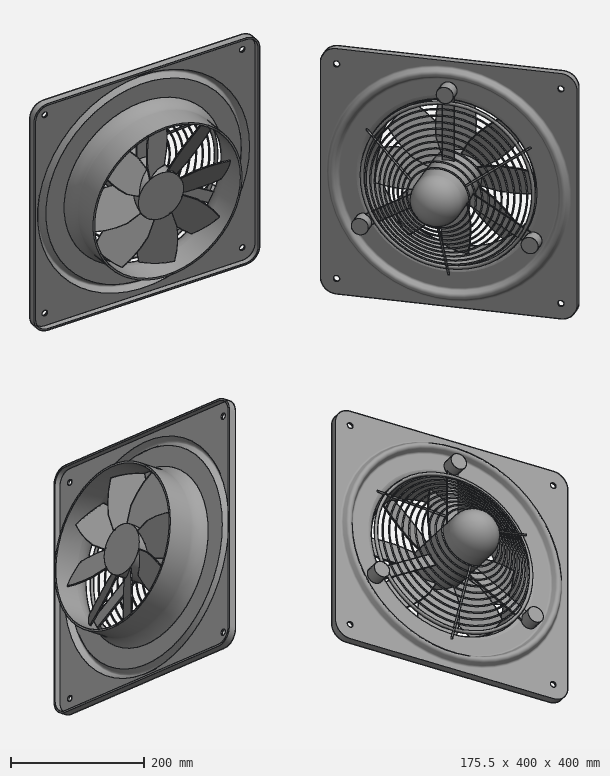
import cadquery as cq
import math


PLATE_SIDE = 400.0
PLATE_DEPTH = 12.5
CORNER_RADIUS = 25.0
SHEET = 3.0
MOUNT_HOLE_DIAMETER = 9.5
MOUNT_HOLE_OFFSET = PLATE_SIDE / 2 - CORNER_RADIUS

BEAD_RADIUS = 180.5
BEAD_HEIGHT = 10.0
BEAD_SLOPE = math.radians(60)
BEAD_CREST_RADIUS = 5.5
BEAD_FOOT_FILLET = 3.5

DUCT_RADIUS = 132.0
DUCT_END = 70.5
BELL_DEPTH = 28.0
BELL_ARC_RADIUS = 39.5
BELL_LIP_FILLET = 8.0

MOTOR_RADIUS = 40.0
DOME_TIP = -105.0
MOTOR_END = 52.0
ROOT_EMBED = 4.0

BLADE_COUNT = 8
BLADE_TIP_RADIUS = 125.0
BLADE_ROOT_RADIUS = MOTOR_RADIUS - ROOT_EMBED
BLADE_ROOT_WIDTH = 45.0
BLADE_SHOULDER_RADIUS = 62.0
BLADE_SHOULDER_WIDTH = 61.0
BLADE_MAX_WIDTH = 62.5
BLADE_TIP_WIDTH = 53.5
BLADE_THICKNESS = 2.0
BLADE_PITCH = 30.0
BLADE_MID_X = 40.0

RING_COUNT = 10
RING_WIRE = 2.0
FIRST_RING_X = -57.0
FIRST_RING_RADIUS = 49.0
LAST_RING_X = -12.0
LAST_RING_RADIUS = 126.0
RING_STEP_X = (LAST_RING_X - FIRST_RING_X) / (RING_COUNT - 1)
RING_STEP_RADIUS = (LAST_RING_RADIUS - FIRST_RING_RADIUS) / (RING_COUNT - 1)
RIM_RING_WIRE = 5.5
RIM_RING_RADIUS = 133.5
RIM_RING_X = -5.0
SPOKE_WIRE = 3.0
SPOKE_END_RADIUS = 147.5
SPOKE_ANGLES = (30, 150, 270)

ARM_ANGLES = (90, 210, 330)
ARM_WIDTH = 19.0
BUTTON_RADIUS = 13.0
BUTTON_CENTRE_RADIUS = 153.0
BUTTON_FRONT = -21.5


def revolve_about_x(profile):
    """Revolve a closed outline, drawn as (x, radius) points, about the fan axis."""
    return profile.close().revolve(360, (0, 0, 0), (1, 0, 0))


def turn(body, angle):
    """Turn a body pointing along +Y about the fan axis; 90 degrees takes it to +Z."""
    return body.rotate((0, 0, 0), (1, 0, 0), angle)


def disc(radius, start, end):
    return cq.Workplane("YZ", origin=(start, 0, 0)).circle(radius).extrude(end - start)


def rounded_slab(side, radius, start, end):
    slab = cq.Workplane("YZ", origin=(start, 0, 0)).rect(side, side).extrude(end - start)
    return slab.edges("|X").fillet(radius)


def front_face_circles(body):
    """Round edges in the plane x = 0 that are centred on the fan axis."""
    reach = 0.05
    near_origin = cq.selectors.BoxSelector((-reach, -reach, -reach), (reach, reach, reach))
    return body.edges("%CIRCLE").edges(near_origin)


def bead_ridge(base, crest_radius):
    """Ring with straight flanks and a round crest, rising forward from x = base."""
    crest_half = crest_radius * math.sin(BEAD_SLOPE)
    crest_drop = crest_radius * (1 - math.cos(BEAD_SLOPE))
    foot_half = crest_half + (BEAD_HEIGHT - crest_drop) / math.tan(BEAD_SLOPE)
    top = base - BEAD_HEIGHT
    return revolve_about_x(
        cq.Workplane("XY")
        .moveTo(base, BEAD_RADIUS - foot_half)
        .lineTo(top + crest_drop, BEAD_RADIUS - crest_half)
        .threePointArc((top, BEAD_RADIUS), (top + crest_drop, BEAD_RADIUS + crest_half))
        .lineTo(base, BEAD_RADIUS + foot_half)
    )


def make_plate():
    plate = rounded_slab(PLATE_SIDE, CORNER_RADIUS, 0, PLATE_DEPTH)
    plate = plate.cut(rounded_slab(PLATE_SIDE - 2 * SHEET, CORNER_RADIUS - SHEET, SHEET, PLATE_DEPTH))
    plate = plate.union(bead_ridge(0, BEAD_CREST_RADIUS))
    plate = front_face_circles(plate).fillet(BEAD_FOOT_FILLET)
    plate = plate.cut(bead_ridge(SHEET, BEAD_CREST_RADIUS - SHEET))
    holes = (
        cq.Workplane("YZ")
        .rect(2 * MOUNT_HOLE_OFFSET, 2 * MOUNT_HOLE_OFFSET, forConstruction=True)
        .vertices()
        .circle(MOUNT_HOLE_DIAMETER / 2)
        .extrude(SHEET)
    )
    return plate.cut(holes)


def bell_and_duct(duct_radius, arc_radius):
    """Solid plug: a bell mouth that narrows along an arc into a straight duct."""
    arc_centre = duct_radius + arc_radius

    def arc_point(x):
        return x, arc_centre - math.sqrt(arc_radius**2 - (BELL_DEPTH - x) ** 2)

    return revolve_about_x(
        cq.Workplane("XY")
        .moveTo(0, 0)
        .lineTo(*arc_point(0))
        .threePointArc(arc_point(BELL_DEPTH / 2), (BELL_DEPTH, duct_radius))
        .lineTo(DUCT_END, duct_radius)
        .lineTo(DUCT_END, 0)
    )


def make_motor():
    dome_centre = DOME_TIP + MOTOR_RADIUS
    diagonal = MOTOR_RADIUS * math.sqrt(0.5)
    return revolve_about_x(
        cq.Workplane("XY")
        .moveTo(DOME_TIP, 0)
        .threePointArc((dome_centre - diagonal, diagonal), (dome_centre, MOTOR_RADIUS))
        .lineTo(MOTOR_END, MOTOR_RADIUS)
        .lineTo(MOTOR_END, 0)
    )


def make_blade():
    """Flat pitched blade pointing along +Y, with a round tip edge."""
    half_root = BLADE_ROOT_WIDTH / 2
    half_shoulder = BLADE_SHOULDER_WIDTH / 2
    half_max = BLADE_MAX_WIDTH / 2
    half_tip = BLADE_TIP_WIDTH / 2
    tip_corner = math.sqrt(BLADE_TIP_RADIUS**2 - half_tip**2)
    mid_radius = (BLADE_SHOULDER_RADIUS + tip_corner) / 2
    blade = (
        cq.Workplane("YZ")
        .moveTo(BLADE_ROOT_RADIUS, -half_root)
        .lineTo(BLADE_SHOULDER_RADIUS, -half_shoulder)
        .threePointArc((mid_radius, -half_max), (tip_corner, -half_tip))
        .threePointArc((BLADE_TIP_RADIUS, 0), (tip_corner, half_tip))
        .threePointArc((mid_radius, half_max), (BLADE_SHOULDER_RADIUS, half_shoulder))
        .lineTo(BLADE_ROOT_RADIUS, half_root)
        .close()
        .extrude(BLADE_THICKNESS / 2, both=True)
    )
    return blade.rotate((0, 0, 0), (0, 1, 0), BLADE_PITCH).translate((BLADE_MID_X, 0, 0))


def make_ring(x, radius, wire):
    return cq.Solid.makeTorus(radius, wire / 2, cq.Vector(x, 0, 0), cq.Vector(1, 0, 0))


def make_spoke():
    """Wire along +Y from the smallest ring down the guard cone to the plate."""
    run = SPOKE_END_RADIUS - FIRST_RING_RADIUS
    direction = cq.Vector(RING_STEP_X / RING_STEP_RADIUS * run, run, 0)
    start = cq.Vector(FIRST_RING_X, FIRST_RING_RADIUS, 0)
    return cq.Workplane(cq.Solid.makeCylinder(SPOKE_WIRE / 2, direction.Length, start, direction))


def make_arm():
    """Flat strip along +Y from the motor to the plate, with its button."""
    inner = MOTOR_RADIUS - ROOT_EMBED
    strip = cq.Workplane("XY").box(
        SHEET, BUTTON_CENTRE_RADIUS - inner, ARM_WIDTH, centered=(False, False, True)
    )
    strip = strip.translate((-SHEET, inner, 0))
    button = disc(BUTTON_RADIUS, BUTTON_FRONT, 0).translate((0, BUTTON_CENTRE_RADIUS, 0))
    return strip.union(button)


def make_housing():
    housing = make_plate()
    housing = housing.union(bell_and_duct(DUCT_RADIUS, BELL_ARC_RADIUS))
    housing = housing.cut(bell_and_duct(DUCT_RADIUS - SHEET, BELL_ARC_RADIUS + SHEET))
    bell_lip = front_face_circles(housing).edges(cq.selectors.RadiusNthSelector(0))
    return bell_lip.fillet(BELL_LIP_FILLET)


def make_impeller():
    impeller = make_motor()
    blade = make_blade()
    for number in range(BLADE_COUNT):
        impeller = impeller.union(turn(blade, number * 360 / BLADE_COUNT))
    return impeller


def make_guard():
    rings = [make_ring(RIM_RING_X, RIM_RING_RADIUS, RIM_RING_WIRE)]
    for index in range(RING_COUNT):
        ring_x = FIRST_RING_X + index * RING_STEP_X
        ring_radius = FIRST_RING_RADIUS + index * RING_STEP_RADIUS
        rings.append(make_ring(ring_x, ring_radius, RING_WIRE))
    guard = cq.Workplane(cq.Compound.makeCompound(rings))
    spoke = make_spoke()
    for angle in SPOKE_ANGLES:
        guard = guard.union(turn(spoke, angle), clean=False)
    return guard


result = make_housing().union(make_impeller())

arm = make_arm()
for angle in ARM_ANGLES:
    result = result.union(turn(arm, angle))

result = result.union(make_guard(), clean=False)